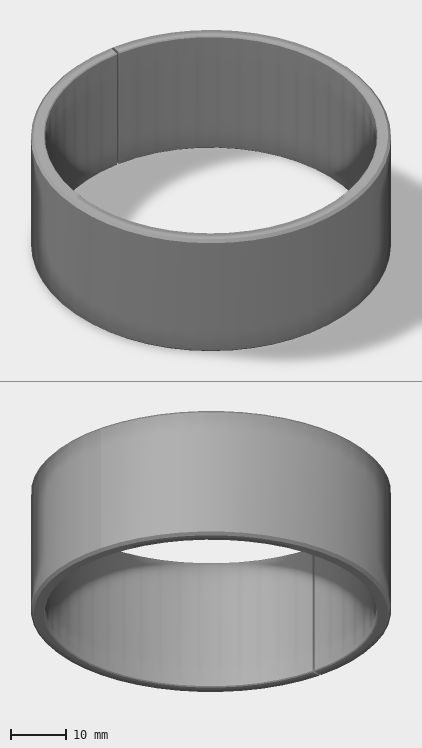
import cadquery as cq

outer_diameter = 65.0
inner_diameter = 60.0
height = 25.0
slit_width = 0.5
outer_chamfer = 0.5
inner_chamfer = 0.2

outer_radius = outer_diameter / 2
inner_radius = inner_diameter / 2


def ring():
    """Revolve the wall section, chamfered at all four corners, about Z."""
    half_height = height / 2
    section = [
        (inner_radius + inner_chamfer, -half_height),
        (outer_radius - outer_chamfer, -half_height),
        (outer_radius, -half_height + outer_chamfer),
        (outer_radius, half_height - outer_chamfer),
        (outer_radius - outer_chamfer, half_height),
        (inner_radius + inner_chamfer, half_height),
        (inner_radius, half_height - inner_chamfer),
        (inner_radius, -half_height + inner_chamfer),
    ]
    return cq.Workplane("XZ").polyline(section).close().revolve(360, (0, 0), (0, 1))


def slit():
    """Full-height block that opens the wall on the -X side, with one face on the XZ plane."""
    block = cq.Workplane("XY").box(outer_radius, slit_width, height, centered=(False, False, True))
    return block.translate((-outer_radius, 0, 0))


result = ring().cut(slit())